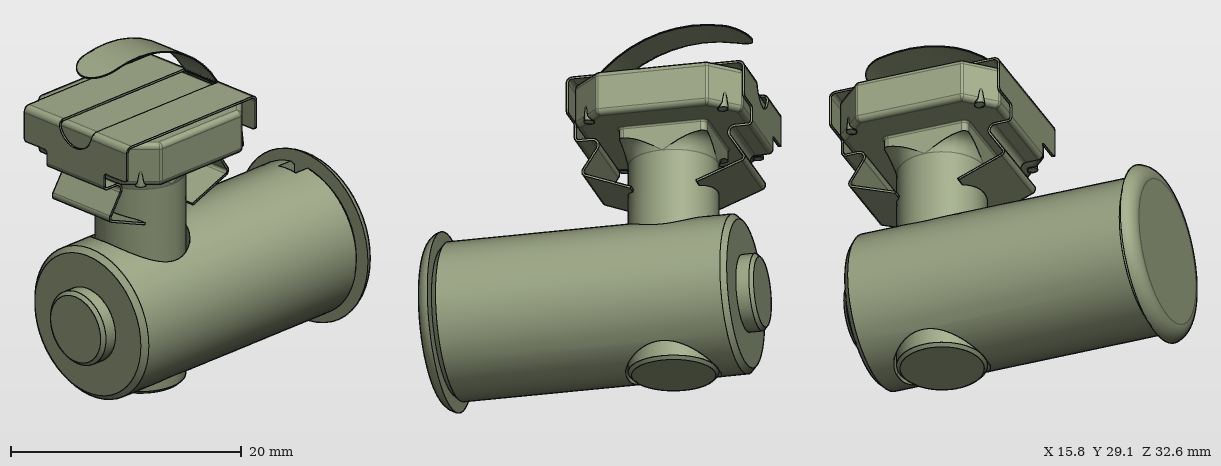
import cadquery as cq
import math


total_height = 32.6

barrel_radius = 6.97
barrel_front = -6.45
barrel_rear = 19.98
barrel_chamfer = 0.5
bolt_slot_radius = 4.07
bolt_slot_play = 0.3
notch_width = 2.1
notch_length = 1.95

cap_radius = 15.8 / 2
cap_thickness = 1.15
cap_edge_radius = 1.5
plug_radius = 5.0
plug_length = 3.9

screw_radius = 3.4
screw_front = -7.95
screw_chamfer = 0.33

stem_radius = 3.95
stem_bottom = -6.97
stem_chamfer = 0.3
neck_fillet = 1.5
neck_bottom = 14.0
neck_corner_radius = 0.5
neck_root_fillet = 0.15
head_width = 15.0
head_bottom = 15.0
head_top = 19.0
head_corner_cut = 2.55
head_corner_radius = 0.35
head_edge_radius = 0.5
tooth_length = 1.95
tooth_radius = 0.45
tooth_lean = 5
tooth_reach = 8.47
tooth_bottom = 14.93

clip_thickness = 0.2
clip_half_length = 8.0
clip_width = 12.5
leg_width = 6.97
shoulder_bottom = 15.9
shoulder_radius = 0.3
ledge_z = 14.35
top_bend_radius = 0.5
ledge_bend_radius = 0.33
waist_y, waist_bend_radius = 5.35, 0.6
knee_y, knee_z, knee_bend_radius = 7.4, 11.2, 0.35
tip_y, tip_z = 2.93, 9.5

tab_width = 4.0
tab_thickness = 0.1
tab_outer_radius = 11.65
tab_crest_y = -2.38
tab_crest_z = total_height - cap_radius
tab_root_y = 7.45
tab_end_y = -7.0
tab_root_overlap = 0.05


def cylinder_y(radius, y_start, y_end):
    """Cylinder on the barrel axis between two Y positions."""
    return cq.Workplane("XZ", origin=(0, y_start, 0)).circle(radius).extrude(y_start - y_end)


def make_barrel():
    """Chamfered cylinder with a cross slot for the bolt, a screw hole, a rear bore and a notch."""
    body = cylinder_y(barrel_radius, barrel_front, barrel_rear).edges("%CIRCLE").chamfer(barrel_chamfer)
    bolt_slot = (
        cq.Workplane("XY", origin=(0, 0, -barrel_radius))
        .slot2D(2 * (bolt_slot_radius + bolt_slot_play), 2 * bolt_slot_radius)
        .extrude(2 * barrel_radius)
    )
    screw_hole = cylinder_y(screw_radius, barrel_front, -bolt_slot_radius)
    plug_bore = cylinder_y(plug_radius, barrel_rear - plug_length, barrel_rear)
    notch = cq.Workplane("XY").box(notch_width, notch_length, barrel_radius, centered=(True, False, False))
    notch = notch.translate((0, barrel_rear - notch_length, 0))
    return body.cut(bolt_slot).cut(screw_hole).cut(plug_bore).cut(notch)


def make_cap():
    """Domed disc with a plug that fills the rear bore of the barrel."""
    rear = barrel_rear + cap_thickness
    edge_center_y = rear - cap_edge_radius
    rise = barrel_rear - edge_center_y
    edge_center_x = cap_radius - math.sqrt(cap_edge_radius**2 - rise**2)
    mid_angle = (math.asin(rise / cap_edge_radius) + math.pi / 2) / 2
    edge_mid = (
        edge_center_x + cap_edge_radius * math.cos(mid_angle),
        edge_center_y + cap_edge_radius * math.sin(mid_angle),
    )
    return (
        cq.Workplane("XY")
        .moveTo(0, barrel_rear - plug_length)
        .lineTo(plug_radius, barrel_rear - plug_length)
        .lineTo(plug_radius, barrel_rear)
        .lineTo(cap_radius, barrel_rear)
        .threePointArc(edge_mid, (edge_center_x, rear))
        .lineTo(0, rear)
        .close()
        .revolve(360, (0, 0, 0), (0, 1, 0))
    )


def make_set_screw():
    """Plain cylinder from ahead of the barrel to the edge of its bolt slot."""
    screw = cylinder_y(screw_radius, screw_front, -bolt_slot_radius)
    return screw.faces("<Y").edges().chamfer(screw_chamfer)


def make_bolt_head():
    """Square block with cut corners and rounded edges."""
    return (
        cq.Workplane("XY", origin=(0, 0, head_bottom))
        .rect(head_width, head_width)
        .extrude(head_top - head_bottom)
        .edges("|Z")
        .chamfer(head_corner_cut)
        .edges("|Z")
        .fillet(head_corner_radius)
        .faces("<Z or >Z")
        .edges()
        .fillet(head_edge_radius)
    )


def make_bolt_stem():
    """Round stem that flares into a square neck under the head."""
    flare_start = neck_bottom - neck_fillet
    flare_radius = stem_radius + neck_fillet
    flare_mid = (
        flare_radius - neck_fillet * math.cos(math.pi / 4),
        flare_start + neck_fillet * math.sin(math.pi / 4),
    )
    round_form = (
        cq.Workplane("XZ")
        .moveTo(0, stem_bottom)
        .lineTo(stem_radius - stem_chamfer, stem_bottom)
        .lineTo(stem_radius, stem_bottom + stem_chamfer)
        .lineTo(stem_radius, flare_start)
        .threePointArc(flare_mid, (flare_radius, neck_bottom))
        .lineTo(flare_radius, head_bottom)
        .lineTo(0, head_bottom)
        .close()
        .revolve(360, (0, 0, 0), (0, 1, 0))
    )
    square_form = (
        cq.Workplane("XY", origin=(0, 0, stem_bottom))
        .rect(2 * stem_radius, 2 * stem_radius)
        .extrude(head_bottom - stem_bottom)
        .edges("|Z")
        .fillet(neck_corner_radius)
    )
    return round_form.intersect(square_form)


def make_corner_tooth(angle):
    """Leaning peg that breaks through a cut corner and the underside of the head."""
    lean = math.radians(tooth_lean)
    foot = cq.Plane(
        origin=(tooth_reach, 0, tooth_bottom), xDir=(0, 1, 0), normal=(-math.sin(lean), 0, math.cos(lean))
    )
    peg = cq.Workplane(foot).circle(tooth_radius).extrude(tooth_length)
    return peg.rotate((0, 0, 0), (0, 0, 1), angle)


def make_bolt():
    """Head, stem and four corner teeth as one solid."""
    bolt = make_bolt_head().union(make_bolt_stem())
    root_reach = stem_radius + neck_root_fillet
    neck_root = cq.selectors.BoxSelector(
        (-root_reach, -root_reach, head_bottom - neck_root_fillet),
        (root_reach, root_reach, head_bottom + neck_root_fillet),
    )
    bolt = bolt.edges(neck_root).fillet(neck_root_fillet)
    for corner in range(4):
        bolt = bolt.union(make_corner_tooth(45 + 90 * corner))
    return bolt


def make_clip_strip():
    """Bent strip running from one leg tip over the head to the other leg tip."""
    wall_y = clip_half_length - clip_thickness / 2
    top_z = head_top + clip_thickness / 2
    rear_half = [
        (knee_y, knee_z, knee_bend_radius),
        (waist_y, ledge_z, waist_bend_radius),
        (wall_y, ledge_z, ledge_bend_radius),
        (wall_y, top_z, top_bend_radius),
    ]
    bends = rear_half + [(-y, z, radius) for y, z, radius in reversed(rear_half)]
    points = [(tip_y, tip_z)] + [(y, z) for y, z, _ in bends] + [(-tip_y, tip_z)]
    path = cq.Wire.makePolygon([cq.Vector(0, y, z) for y, z in points])
    for y, z, radius in bends:
        corner = min(path.Vertices(), key=lambda v: (v.Center() - cq.Vector(0, y, z)).Length)
        path = path.fillet(radius, [corner])
    start = cq.Plane(
        origin=(0, tip_y, tip_z), xDir=(1, 0, 0), normal=(0, knee_y - tip_y, knee_z - tip_z)
    )
    return cq.Workplane(start).rect(clip_width, clip_thickness).sweep(cq.Workplane(path))


def make_clip_outline():
    """T-shaped block that bounds the clip: wide shoulders above narrow legs."""
    span = 2 * clip_half_length
    shoulder_height = head_top + clip_thickness - shoulder_bottom
    shoulders = cq.Workplane("XY").box(clip_width, span, shoulder_height, centered=(True, True, False))
    legs = cq.Workplane("XY").box(leg_width, span, shoulder_bottom, centered=(True, True, False))
    outline = shoulders.translate((0, 0, shoulder_bottom)).union(legs)
    step_edges = cq.selectors.BoxSelector(
        (-clip_width, -clip_half_length, shoulder_bottom - shoulder_radius),
        (clip_width, clip_half_length, shoulder_bottom + shoulder_radius),
    )
    return outline.edges("|Y").edges(step_edges).fillet(shoulder_radius)


def make_tab():
    """Thin arched tongue with a rounded free end."""
    arch_z = tab_crest_z - tab_outer_radius
    arch = (
        cq.Workplane("YZ", origin=(-tab_width / 2, tab_crest_y, arch_z))
        .circle(tab_outer_radius)
        .circle(tab_outer_radius - tab_thickness)
        .extrude(tab_width)
    )
    half = tab_width / 2
    tongue = (
        cq.Workplane("XY", origin=(0, 0, head_top + clip_thickness / 2))
        .moveTo(-half, tab_root_y + tab_root_overlap)
        .lineTo(half, tab_root_y + tab_root_overlap)
        .lineTo(half, tab_end_y + half)
        .threePointArc((0, tab_end_y), (-half, tab_end_y + half))
        .close()
        .extrude(tab_crest_z)
    )
    return arch.intersect(tongue)


def make_tab_opening():
    """Cutter for the gap the tab leaves in the top plate, round-ended on the front wall."""
    clip_top = head_top + clip_thickness
    length = tab_root_y + clip_half_length
    top_gap = cq.Workplane("XY").box(tab_width, length, 2 * clip_thickness)
    top_gap = top_gap.translate((0, tab_root_y - length / 2, clip_top))
    front_plane = cq.Workplane("XZ", origin=(0, 0, clip_top))
    rounded_end = front_plane.circle(tab_width / 2).extrude(clip_half_length)
    return top_gap.union(rounded_end)


def make_clip():
    """Bent strip trimmed to its outline and around the stem, with the arched tab."""
    stem_clearance = cq.Workplane("XY").circle(stem_radius).extrude(neck_bottom)
    clip = make_clip_strip().intersect(make_clip_outline()).cut(stem_clearance).cut(make_tab_opening())
    return clip.union(make_tab())


barrel = make_barrel()
cap = make_cap()
set_screw = make_set_screw()
bolt = make_bolt()
clip = make_clip()

result = cq.Compound.makeCompound([barrel.val(), cap.val(), set_screw.val(), bolt.val(), clip.val()])